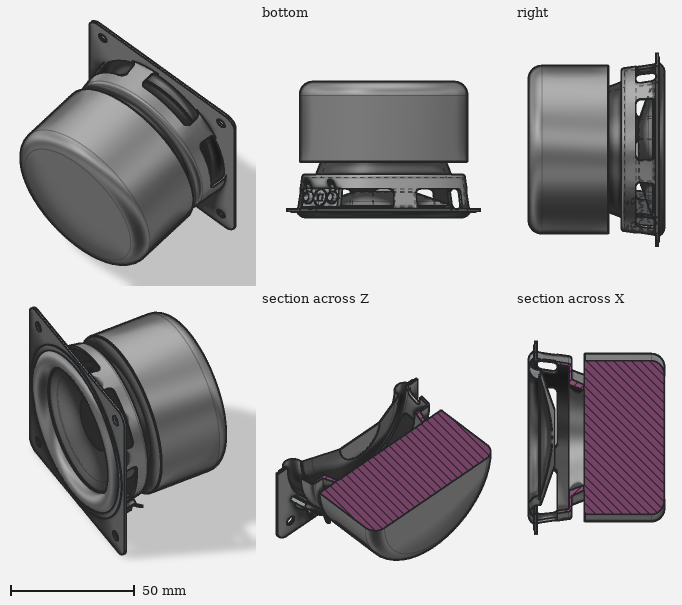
import cadquery as cq
import math


flange_size = 78.0
flange_thickness = 1.0
flange_corner_radius = 5.0
mounting_hole_diameter = 4.2
mounting_hole_pitch = 63.6

basket_top_radius = 34.8
basket_bottom_radius = 33.0
basket_slope_end = -12.6
basket_edge_radius = 1.4
basket_floor = basket_slope_end - basket_edge_radius
basket_wall = 1.2
neck_top_radius = 27.3
neck_bottom_radius = 25.4
neck_wall = 2.0
neck_fillet_radius = 0.5
draft_angle = math.degrees(math.atan((basket_top_radius - basket_bottom_radius) / -basket_slope_end))

window_count = 6
first_window_angle = 15.0
window_width = 25.6
window_height = 8.05
window_corner_radius = 2.0

magnet_diameter = 68.0
magnet_front = -18.95
magnet_back = -51.5
magnet_front_chamfer = 0.4
magnet_back_radius = 5.5

surround_lip_diameter = 74.6
surround_thickness = 0.4
roll_foot_radius = 34.9
roll_apex_radius = 31.2
roll_apex_height = 3.56
cone_rim_radius = 26.6
cone_rim_height = -1.75
cone_crease_diameter = 45.7
cone_crease_height = -3.06
cone_thickness = 0.5
dust_cap_diameter = 22.0
cone_floor = -7.2

terminal_angle = 225.0
terminal_length = 20.0
terminal_height = 7.6
terminal_thickness = 2.0
terminal_center_height = -4.6
terminal_inner_radius = 33.9
rivet_diameter = 5.2
rivet_height = 1.5
rivet_top_diameter = 3.2
rivet_dome_radius = 1.6
rivet_offset = 6.8
boss_diameter = 6.75
boss_height = 0.5
boss_square = 2.7
lug_width = 2.8
lug_thickness = 0.5
lug_reach = 0.2
lug_tip_length = 4.0
lug_bend_angle = 40.0
lug_hole_diameter = 1.5


def revolve_about_y(profile):
    return profile.close().revolve(360, (0, 0, 0), (0, 1, 0))


def turned_about_y(shape, angle):
    """Turn a shape from the +X direction to an angle measured from +X towards +Z."""
    return shape.rotate((0, 0, 0), (0, 1, 0), -angle)


def make_flange():
    plate = cq.Workplane("XZ").rect(flange_size, flange_size).extrude(-flange_thickness)
    plate = plate.edges("|Y").fillet(flange_corner_radius)
    opening = cq.Workplane("XZ").circle(basket_top_radius - basket_wall).extrude(-flange_thickness)
    holes = (
        cq.Workplane("XZ")
        .rect(mounting_hole_pitch, mounting_hole_pitch, forConstruction=True)
        .vertices()
        .circle(mounting_hole_diameter / 2)
        .extrude(-flange_thickness)
    )
    return plate.cut(opening).cut(holes)


def make_basket_shell():
    floor_top = basket_floor + basket_wall
    neck_turn = math.atan2(basket_floor - magnet_front, neck_top_radius - neck_bottom_radius)
    fillet_run = neck_fillet_radius * math.tan(neck_turn / 2)
    fillet_end = (
        neck_top_radius - fillet_run * math.cos(neck_turn),
        basket_floor - fillet_run * math.sin(neck_turn),
    )
    return revolve_about_y(
        cq.Workplane("XY")
        .moveTo(basket_top_radius, 0)
        .lineTo(basket_bottom_radius, basket_slope_end)
        .radiusArc((basket_bottom_radius - basket_edge_radius, basket_floor), basket_edge_radius)
        .lineTo(neck_top_radius + fillet_run, basket_floor)
        .radiusArc(fillet_end, -neck_fillet_radius)
        .lineTo(neck_bottom_radius, magnet_front)
        .lineTo(neck_bottom_radius - neck_wall, magnet_front)
        .lineTo(neck_top_radius - neck_wall, floor_top)
        .lineTo(basket_bottom_radius - basket_wall, floor_top)
        .lineTo(basket_top_radius - basket_wall, 0)
    )


def make_window_cutter():
    cutter = cq.Workplane("XY").box(basket_top_radius, window_height, window_width)
    cutter = cutter.edges("|X").fillet(window_corner_radius)
    return cutter.translate((basket_top_radius, -window_height / 2, 0))


def make_rivet():
    """Domed rivet head with a flat top, pointing towards +X."""
    return (
        cq.Workplane("XY")
        .lineTo(rivet_diameter / 2, 0)
        .radiusArc((rivet_top_diameter / 2, rivet_height), -rivet_dome_radius)
        .lineTo(0, rivet_height)
        .close()
        .revolve(360, (0, 0, 0), (0, 1, 0))
        .rotate((0, 0, 0), (0, 0, 1), -90)
    )


def make_lug():
    """Solder lug lying on the strip face, with a pierced round tip bent outwards."""
    straight_length = terminal_height / 2 + lug_reach
    straight = cq.Workplane("XY").box(lug_thickness, straight_length, lug_width, centered=(False, False, True))
    straight = straight.translate((0, -straight_length, 0))
    tip_center = -lug_tip_length + lug_width / 2
    tip = cq.Workplane("XY").box(lug_thickness, -tip_center, lug_width, centered=(False, False, True))
    tip = tip.translate((0, tip_center, 0))
    round_end = cq.Workplane("YZ").center(tip_center, 0).circle(lug_width / 2).extrude(lug_thickness)
    eye = cq.Workplane("YZ").center(tip_center, 0).circle(lug_hole_diameter / 2).extrude(lug_thickness)
    tip = tip.union(round_end).cut(eye)
    tip = tip.rotate((0, 0, 0), (0, 0, 1), lug_bend_angle).translate((0, -straight_length, 0))
    return straight.union(tip)


def make_terminal():
    strip = cq.Workplane("XY").box(terminal_thickness, terminal_height, terminal_length)
    strip = strip.translate((-terminal_thickness / 2, 0, 0))
    boss = cq.Workplane("YZ").circle(boss_diameter / 2).rect(boss_square, boss_square).extrude(boss_height)
    strip = strip.union(boss)
    for offset in (-rivet_offset, rivet_offset):
        strip = strip.union(make_rivet().translate((0, 0, offset)))
        strip = strip.union(make_lug().translate((0, 0, offset)))
    strip = strip.rotate((0, 0, 0), (0, 0, 1), -draft_angle)
    strip = strip.translate((terminal_inner_radius + terminal_thickness, terminal_center_height, 0))
    return turned_about_y(strip, terminal_angle)


def make_basket():
    basket = make_flange().union(make_basket_shell())
    for index in range(window_count):
        angle = first_window_angle + index * 360 / window_count
        basket = basket.cut(turned_about_y(make_window_cutter(), angle))
    return basket.union(make_terminal())


def make_magnet():
    cover = cq.Workplane("XZ", origin=(0, magnet_front, 0)).circle(magnet_diameter / 2)
    cover = cover.extrude(magnet_front - magnet_back)
    return cover.faces(">Y").edges().chamfer(magnet_front_chamfer).faces("<Y").edges().fillet(magnet_back_radius)


def make_cone():
    lip_top = flange_thickness + surround_thickness
    foot_run = roll_foot_radius - roll_apex_radius
    foot_drop = roll_apex_height - lip_top
    roll_radius = (foot_run**2 + foot_drop**2) / (2 * foot_drop)
    roll_center_height = roll_apex_height - roll_radius
    under_radius = roll_radius - surround_thickness
    under_foot_run = math.sqrt(under_radius**2 - (flange_thickness - roll_center_height) ** 2)
    under_end_height = cone_rim_height + cone_thickness
    under_end_run = math.sqrt(under_radius**2 - (under_end_height - roll_center_height) ** 2)
    crease_radius = cone_crease_diameter / 2
    cap_radius = dust_cap_diameter / 2
    return revolve_about_y(
        cq.Workplane("XY")
        .moveTo(surround_lip_diameter / 2, flange_thickness)
        .lineTo(surround_lip_diameter / 2, lip_top)
        .lineTo(roll_foot_radius, lip_top)
        .threePointArc(
            (roll_apex_radius, roll_apex_height), (roll_apex_radius - roll_radius, roll_center_height)
        )
        .lineTo(cone_rim_radius, cone_rim_height + cone_thickness)
        .lineTo(crease_radius, cone_crease_height + cone_thickness)
        .lineTo(cap_radius, cone_floor + cone_thickness)
        .lineTo(0, cone_floor + cone_thickness)
        .lineTo(0, cone_floor)
        .lineTo(cap_radius, cone_floor)
        .lineTo(crease_radius, cone_crease_height)
        .lineTo(cone_rim_radius, cone_rim_height)
        .lineTo(roll_apex_radius - under_end_run, under_end_height)
        .threePointArc(
            (roll_apex_radius, roll_apex_height - surround_thickness),
            (roll_apex_radius + under_foot_run, flange_thickness),
        )
    )


basket = make_basket()
magnet = make_magnet()
cone = make_cone()
result = cq.Compound.makeCompound([basket.val(), magnet.val(), cone.val()])